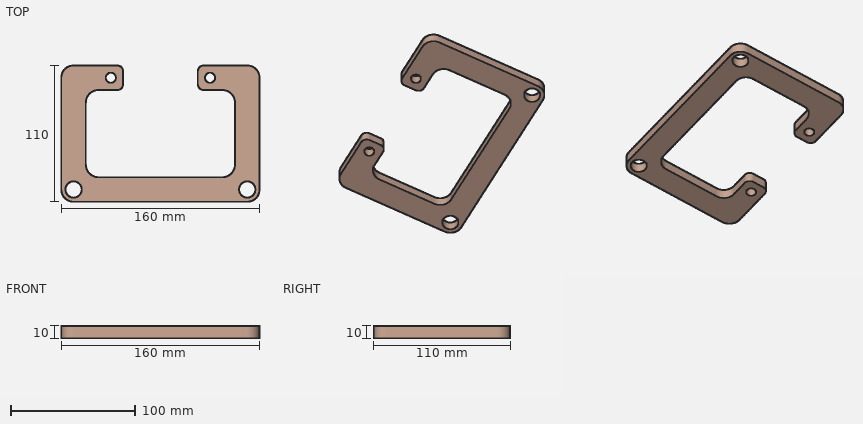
import cadquery as cq

length = 160.0
depth = 110.0
thickness = 10.0

rail_width = 20.0
gap_width = 60.0
corner_radius = rail_width / 2
tip_radius = 5.0

large_hole_diameter = 13.0
small_hole_diameter = 8.0
small_hole_spacing = 80.0
hole_inset = rail_width / 2
large_hole_spacing = length - 2 * hole_inset
hole_row_y = depth / 2 - hole_inset


def rounded_block(size_x, size_y):
    """Block of plate thickness with rounded vertical corners."""
    return cq.Workplane("XY").box(size_x, size_y, thickness).edges("|Z").fillet(corner_radius)


def hole_pair(diameter, spacing, y):
    """Two through-hole cutters placed symmetrically about the YZ plane."""
    return (
        cq.Workplane("XY", origin=(0, 0, -thickness / 2))
        .pushPoints([(-spacing / 2, y), (spacing / 2, y)])
        .circle(diameter / 2)
        .extrude(thickness)
    )


window = rounded_block(length - 2 * rail_width, depth - 2 * rail_width)
frame = rounded_block(length, depth).cut(window)

rail_center_y = (depth - rail_width) / 2
gap = cq.Workplane("XY").center(0, rail_center_y).box(gap_width, rail_width, thickness)
frame = frame.cut(gap)

tip_edges = cq.selectors.BoxSelector(
    (-gap_width / 2 - tip_radius, depth / 2 - rail_width - tip_radius, -thickness),
    (gap_width / 2 + tip_radius, depth / 2 + tip_radius, thickness),
)
frame = frame.edges("|Z").edges(tip_edges).fillet(tip_radius)

frame = frame.cut(hole_pair(large_hole_diameter, large_hole_spacing, -hole_row_y))
result = frame.cut(hole_pair(small_hole_diameter, small_hole_spacing, hole_row_y))